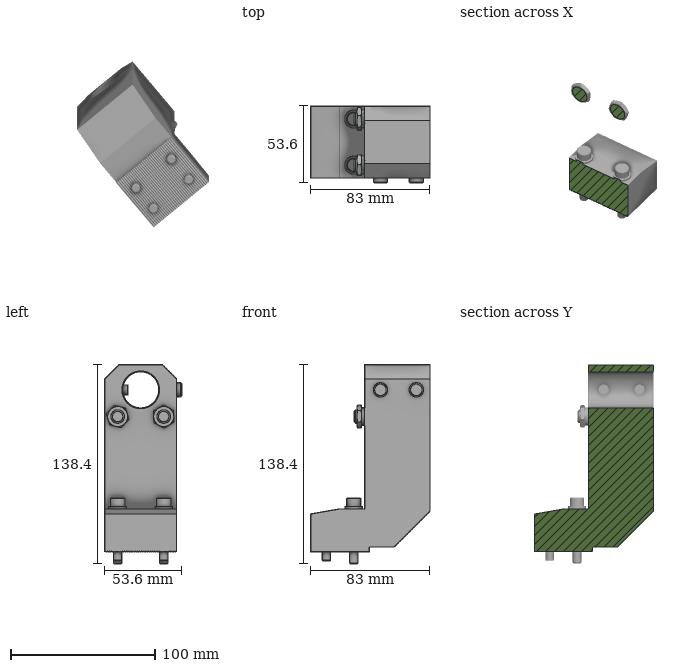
import cadquery as cq
import math

LENGTH = 83.0
WIDTH = 50.0
TOTAL_HEIGHT = 138.4
CLAMP_TIP_DROP = 8.2
BODY_HEIGHT = TOTAL_HEIGHT - CLAMP_TIP_DROP
COLUMN_X = 37.5
FOOT_HEIGHT = 30.0
TOE_SLOPE_LENGTH = 20.0
TOE_SLOPE_ANGLE = 10.0
BASE_LENGTH = 41.0
BASE_STEP = 3.5
HEEL_CHAMFER = 24.9
TOP_CHAMFER = 10.0

TOOTH_PITCH = 1.5
TOOTH_DEPTH = 0.5

BORE_DIAMETER = 25.0
BORE_CHAMFER = 0.5
BORE_Z = BODY_HEIGHT - 17.6

SIDE_SCREW_DIAMETER = 10.0
SIDE_SCREW_PROTRUSION = 3.6
SIDE_SCREW_CHAMFER = 1.0
SIDE_SCREW_X = 61.0
SIDE_SCREW_SPACING = 24.9
KEY_PIN_DIAMETER = 7.0
KEY_PIN_TIP_Y = 8.9

ROW_SPACING = 32.0
ROWS_Y = (-ROW_SPACING / 2, ROW_SPACING / 2)
WASHER_DIAMETER = 12.5

STUD_Z = BODY_HEIGHT - 36.1
STUD_DIAMETER = 9.4
STUD_PROTRUSION = 7.2
STUD_CHAMFER = 1.1
COLLAR_THICKNESS = 2.0
NUT_THICKNESS = 3.3
NUT_ACROSS_FLATS = 14.0
NUT_ACROSS_CORNERS = NUT_ACROSS_FLATS / math.cos(math.radians(30))
NUT_BEVEL_ANGLE = 30.0
NUT_CORNER_ANGLES = (-2.0, -17.0)

CLAMP_X = 30.0
CLAMP_HEAD_DIAMETER = 10.0
CLAMP_HEAD_TOP = 7.6
CLAMP_HEAD_CHAMFER = 0.5
CLAMP_WASHER_THICKNESS = 1.7
PIN_DIAMETER = 6.0
CLAMP_TIP_CHAMFER = 0.7
LOCATING_PIN_X = 11.1
LOCATING_PIN_DROP = 6.1
LOCATING_PIN_CHAMFER = 0.4

EMBED = 2.8


def rod(start, direction, diameter, length, tip_chamfer=0.0):
    """Cylinder rooted inside the body, standing out of `start` by `length`."""
    axis = cq.Vector(*direction)
    root = cq.Vector(*start) - axis * EMBED
    shape = cq.Workplane(cq.Plane(root, normal=axis)).circle(diameter / 2).extrude(length + EMBED)
    if tip_chamfer:
        shape = shape.faces(cq.selectors.DirectionMinMaxSelector(axis, True)).chamfer(tip_chamfer)
    return shape


def make_body():
    toe_height = FOOT_HEIGHT - TOE_SLOPE_LENGTH * math.tan(math.radians(TOE_SLOPE_ANGLE))
    outline = [
        (0, 0),
        (BASE_LENGTH, 0),
        (BASE_LENGTH, BASE_STEP),
        (LENGTH - HEEL_CHAMFER, BASE_STEP),
        (LENGTH, BASE_STEP + HEEL_CHAMFER),
        (LENGTH, BODY_HEIGHT),
        (COLUMN_X, BODY_HEIGHT),
        (COLUMN_X, FOOT_HEIGHT),
        (TOE_SLOPE_LENGTH, FOOT_HEIGHT),
        (0, toe_height),
    ]
    body = cq.Workplane("XZ").polyline(outline).close().extrude(WIDTH / 2, both=True)
    body = body.faces(">Z").edges("|X").chamfer(TOP_CHAMFER)

    body = body.faces("<X").workplane(origin=(0, 0, BORE_Z)).hole(BORE_DIAMETER, LENGTH)
    return body.edges("%CIRCLE").chamfer(BORE_CHAMFER)


def make_tooth_gaps():
    """V-shaped gaps, open downwards, between the teeth of the base."""
    gaps_per_side = math.ceil(WIDTH / 2 / TOOTH_PITCH)
    half_span = gaps_per_side * TOOTH_PITCH
    outline = [(-half_span, 0)]
    for i in range(-gaps_per_side, gaps_per_side):
        outline.append(((i + 0.5) * TOOTH_PITCH, TOOTH_DEPTH))
        outline.append(((i + 1) * TOOTH_PITCH, 0))
    outline += [(half_span, -TOOTH_DEPTH), (-half_span, -TOOTH_DEPTH)]
    return cq.Workplane("YZ").polyline(outline).close().extrude(BASE_LENGTH)


def make_nut(y, corner_angle):
    """Hexagon nut with its corners bevelled on both faces."""
    seat_x = COLUMN_X - COLLAR_THICKNESS
    hexagon = (
        cq.Workplane("YZ", origin=(seat_x, y, STUD_Z))
        .transformed(rotate=(0, 0, 90 + corner_angle))
        .polygon(6, NUT_ACROSS_CORNERS)
        .extrude(-NUT_THICKNESS)
    )
    face_radius = NUT_ACROSS_FLATS / 2
    corner_radius = NUT_ACROSS_CORNERS / 2
    bevel = (corner_radius - face_radius) * math.tan(math.radians(NUT_BEVEL_ANGLE))
    envelope = (
        cq.Workplane("XY", origin=(seat_x - NUT_THICKNESS, y, STUD_Z))
        .polyline(
            [
                (0, 0),
                (0, face_radius),
                (bevel, corner_radius),
                (NUT_THICKNESS - bevel, corner_radius),
                (NUT_THICKNESS, face_radius),
                (NUT_THICKNESS, 0),
            ]
        )
        .close()
        .revolve(360, (0, 0, 0), (1, 0, 0))
    )
    return hexagon.intersect(envelope)


def make_side_screws():
    parts = []
    for x in (SIDE_SCREW_X - SIDE_SCREW_SPACING / 2, SIDE_SCREW_X + SIDE_SCREW_SPACING / 2):
        head_start = (x, -WIDTH / 2, BORE_Z)
        parts.append(
            rod(head_start, (0, -1, 0), SIDE_SCREW_DIAMETER, SIDE_SCREW_PROTRUSION, SIDE_SCREW_CHAMFER)
        )
        wall = (x, BORE_DIAMETER / 2, BORE_Z)
        parts.append(rod(wall, (0, -1, 0), KEY_PIN_DIAMETER, BORE_DIAMETER / 2 - KEY_PIN_TIP_Y))
    return parts


def make_stud_with_nut(y, corner_angle):
    seat = (COLUMN_X, y, STUD_Z)
    outward = (-1, 0, 0)
    collar = rod(seat, outward, WASHER_DIAMETER, COLLAR_THICKNESS)
    stud = rod(seat, outward, STUD_DIAMETER, STUD_PROTRUSION, STUD_CHAMFER)
    return [collar, stud, make_nut(y, corner_angle)]


def make_foot_fasteners(y):
    seat = (CLAMP_X, y, FOOT_HEIGHT)
    up = (0, 0, 1)
    down = (0, 0, -1)
    return [
        rod(seat, up, WASHER_DIAMETER, CLAMP_WASHER_THICKNESS),
        rod(seat, up, CLAMP_HEAD_DIAMETER, CLAMP_HEAD_TOP, CLAMP_HEAD_CHAMFER),
        rod((CLAMP_X, y, 0), down, PIN_DIAMETER, CLAMP_TIP_DROP, CLAMP_TIP_CHAMFER),
        rod((LOCATING_PIN_X, y, 0), down, PIN_DIAMETER, LOCATING_PIN_DROP, LOCATING_PIN_CHAMFER),
    ]


fasteners = make_side_screws()
for row_y, nut_angle in zip(ROWS_Y, NUT_CORNER_ANGLES):
    fasteners += make_stud_with_nut(row_y, nut_angle)
    fasteners += make_foot_fasteners(row_y)

result = make_body().cut(make_tooth_gaps())
for fastener in fasteners:
    result = result.union(fastener)